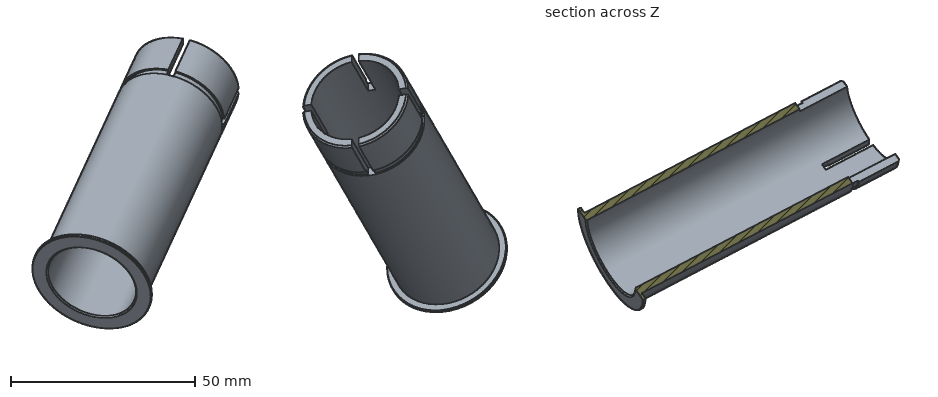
import cadquery as cq

length = 83.0
tube_radius = 15.0
bore_radius = 12.5
flange_radius = 17.0
flange_thickness = 1.0
flange_chamfer = 0.2
mouth_chamfer = 0.4
rear_chamfer = 0.5

slot_length = 15.0
slot_width = 2.0
groove_width = 2.0
groove_depth = 0.5


def cylinder(radius, start, end):
    """Solid cylinder along +Y between two Y positions."""
    plane = cq.Workplane("XZ", origin=(0, start, 0))
    return plane.circle(radius).extrude(start - end)


def make_sleeve():
    """Flanged tube with its edges chamfered."""
    tube = cylinder(tube_radius, 0, length).faces(">Y").edges().chamfer(rear_chamfer)
    flange = cylinder(flange_radius, 0, flange_thickness).edges().chamfer(flange_chamfer)
    sleeve = tube.union(flange).cut(cylinder(bore_radius, 0, length))
    bore_mouth = cq.selectors.RadiusNthSelector(0)
    return sleeve.faces("<Y").edges(bore_mouth).chamfer(mouth_chamfer)


def make_groove():
    """Ring that relieves the outside at the root of the collet fingers."""
    start = length - slot_length
    end = start + groove_width
    outer = cylinder(flange_radius, start, end)
    return outer.cut(cylinder(tube_radius - groove_depth, start, end))


def make_slots():
    """Two crossed slots that split the rear end into four fingers."""
    center_y = length - slot_length / 2
    span = 2 * flange_radius
    upright = cq.Workplane("XY").box(slot_width, slot_length, span)
    level = cq.Workplane("XY").box(span, slot_length, slot_width)
    return upright.union(level).translate((0, center_y, 0))


result = make_sleeve().cut(make_groove()).cut(make_slots())